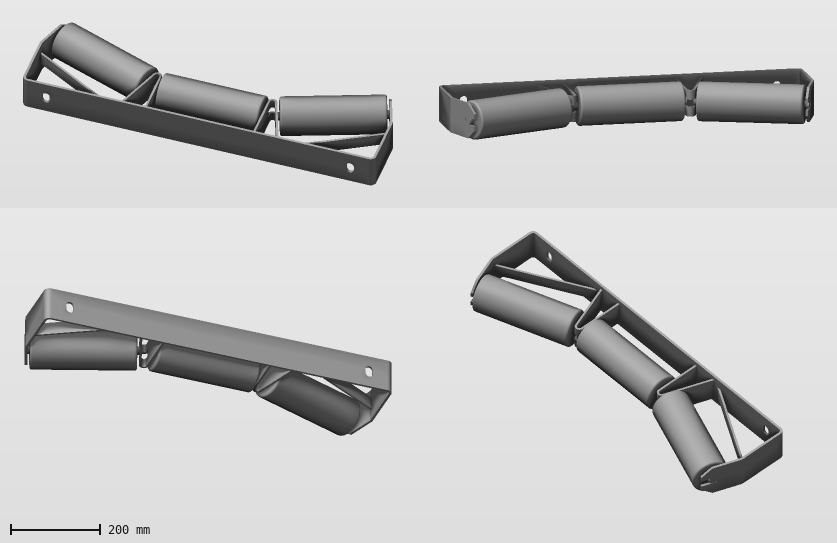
import cadquery as cq
import math


FRAME_LENGTH = 830.0
STRIP_THICKNESS = 6.0
STRIP_WIDTH = 80.0
STRIP_BEND_RADIUS = 13.0
TIP_REACH = 28.0
TIP_CHAMFER_LENGTH = 26.5
TIP_CHAMFER_WIDTH = 20.0

MOUNT_SLOT_X = 358.0
MOUNT_SLOT_WIDTH = 17.5
MOUNT_SLOT_LENGTH = 27.0

RIB_THICKNESS = 5.0
BRACKET_WIDTH = 60.0
BRACKET_BEND_RADIUS = 11.0
BRACE_ANGLE = 29.0
BRACE_WIDTH = 30.0
BRACE_FOOT_X = 198.0

ROLLER_DIAMETER = 89.0
ROLLER_LENGTH = 240.0
ROLLER_EDGE_RADIUS = 5.0
SHAFT_DIAMETER = 20.0
SHAFT_FLATS = 17.0
SIDE_GAP = 5.0

TROUGH_ANGLE = 20.0
CENTRE_ROLLER_Y = 100.0
WING_ROLLER_X = 268.0
WING_ROLLER_Y = 150.0

HALF_LENGTH = FRAME_LENGTH / 2
SEAT = ROLLER_LENGTH / 2 + SIDE_GAP
SHAFT_END = SEAT + RIB_THICKNESS
SHAFT_RADIUS = SHAFT_DIAMETER / 2
FLAT_OFFSET = SHAFT_FLATS / 2
COS = math.cos(math.radians(TROUGH_ANGLE))
SIN = math.sin(math.radians(TROUGH_ANGLE))


def wing_point(along, across):
    x = -WING_ROLLER_X - along * COS + across * SIN
    y = WING_ROLLER_Y + along * SIN + across * COS
    return (x, y)


def wing_point_at_x(along, x):
    return wing_point(along, (x + WING_ROLLER_X + along * COS) / SIN)


def wing_point_at_y(along, y):
    return wing_point(along, (y - WING_ROLLER_Y - along * SIN) / COS)


def flat_bar(outline, width):
    """Outline in the XY plane, extruded evenly to both sides of it."""
    return cq.Workplane("XY").polyline(outline).close().extrude(width / 2, both=True)


def round_bend(bar, inner_corner, outer_corner, thickness, outer_radius):
    """Round both corners of a bend about one centre, so the thickness stays constant."""
    for corner, radius in ((inner_corner, outer_radius - thickness), (outer_corner, outer_radius)):
        bar = bar.edges(cq.selectors.NearestToPointSelector((*corner, 0))).fillet(radius)
    return bar


def shaft_slot(plane, length, depth):
    """Open slot that runs from the shaft's seat along the plane's X direction."""
    seat_end = math.sqrt(SHAFT_RADIUS ** 2 - FLAT_OFFSET ** 2)
    return (
        cq.Workplane(plane)
        .moveTo(length, FLAT_OFFSET)
        .lineTo(-seat_end, FLAT_OFFSET)
        .threePointArc((-SHAFT_RADIUS, 0), (-seat_end, -FLAT_OFFSET))
        .lineTo(length, -FLAT_OFFSET)
        .close()
        .extrude(depth)
    )


def wing_plane(along, outward):
    """Plane across the left wing axis, its X pointing up and its normal outward or inward."""
    origin = (*wing_point(along, 0), 0)
    normal = (-COS, SIN, 0) if outward else (COS, -SIN, 0)
    return cq.Plane(origin=origin, xDir=(SIN, COS, 0), normal=normal)


def make_half_strip():
    """Left half of the base and the end wall, whose upper part leans in square to the wing axis."""
    inner_x = -HALF_LENGTH + STRIP_THICKNESS
    outer_along = SEAT + STRIP_THICKNESS
    outer_bend = wing_point_at_x(outer_along, -HALF_LENGTH)
    inner_bend = wing_point_at_x(SEAT, inner_x)
    base_outer = (-HALF_LENGTH, 0)
    base_inner = (inner_x, STRIP_THICKNESS)
    strip = flat_bar(
        [
            (0, 0),
            base_outer,
            outer_bend,
            wing_point(outer_along, TIP_REACH),
            wing_point(SEAT, TIP_REACH),
            inner_bend,
            base_inner,
            (0, STRIP_THICKNESS),
        ],
        STRIP_WIDTH,
    )
    strip = round_bend(strip, base_inner, base_outer, STRIP_THICKNESS, STRIP_BEND_RADIUS)
    strip = round_bend(strip, inner_bend, outer_bend, STRIP_THICKNESS, STRIP_BEND_RADIUS)

    seat_plane = wing_plane(SEAT, outward=True)
    half_width = STRIP_WIDTH / 2
    tip_corner = (
        cq.Workplane(seat_plane)
        .moveTo(TIP_REACH, half_width)
        .lineTo(TIP_REACH - TIP_CHAMFER_LENGTH, half_width)
        .lineTo(TIP_REACH, half_width - TIP_CHAMFER_WIDTH)
        .close()
        .extrude(STRIP_THICKNESS)
    )
    mount_slot = (
        cq.Workplane("XZ")
        .center(-MOUNT_SLOT_X, 0)
        .slot2D(MOUNT_SLOT_LENGTH, MOUNT_SLOT_WIDTH, 90)
        .extrude(-STRIP_THICKNESS)
    )
    strip = strip.cut(tip_corner).cut(tip_corner.mirror("XY")).cut(mount_slot)
    return strip.cut(shaft_slot(seat_plane, TIP_REACH, STRIP_THICKNESS))


def make_bracket():
    """Left inner bracket: one leg beside the centre roller, one beside the wing roller."""
    outer_bend = wing_point_at_x(-SEAT, -SEAT)
    inner_bend = wing_point_at_x(-SHAFT_END, -SHAFT_END)
    bracket = flat_bar(
        [
            (-SEAT, STRIP_THICKNESS),
            outer_bend,
            wing_point_at_y(-SEAT, STRIP_THICKNESS),
            wing_point_at_y(-SHAFT_END, STRIP_THICKNESS),
            inner_bend,
            (-SHAFT_END, STRIP_THICKNESS),
        ],
        BRACKET_WIDTH,
    )
    bracket = round_bend(bracket, inner_bend, outer_bend, RIB_THICKNESS, BRACKET_BEND_RADIUS)

    slot_length = outer_bend[1] - CENTRE_ROLLER_Y
    centre_plane = cq.Plane(origin=(-SEAT, CENTRE_ROLLER_Y, 0), xDir=(0, 1, 0), normal=(-1, 0, 0))
    for plane in (centre_plane, wing_plane(-SEAT, outward=False)):
        bracket = bracket.cut(shaft_slot(plane, slot_length, BRACKET_BEND_RADIUS))
    return bracket


def make_brace():
    """Left diagonal flat bar from the base to the end wall."""
    wall_x = -HALF_LENGTH + STRIP_THICKNESS
    angle = math.radians(BRACE_ANGLE)
    wall_y = STRIP_THICKNESS + (-BRACE_FOOT_X - wall_x) * math.tan(angle)
    return flat_bar(
        [
            (-BRACE_FOOT_X, STRIP_THICKNESS),
            (wall_x, wall_y),
            (wall_x, wall_y - RIB_THICKNESS / math.cos(angle)),
            (-BRACE_FOOT_X - RIB_THICKNESS / math.sin(angle), STRIP_THICKNESS),
        ],
        BRACE_WIDTH,
    )


def make_frame():
    """Welded frame: the left half and its mirror image in one piece."""
    half = make_half_strip().union(make_bracket()).union(make_brace())
    return half.union(half.mirror("YZ")).clean().solids().val()


def centred_rod(diameter, length):
    return cq.Workplane("YZ").workplane(offset=-length / 2).circle(diameter / 2).extrude(length)


def make_roller(x, y, tilt):
    """Roller and its shaft, with flats where the shaft sits in the slots."""
    shell = centred_rod(ROLLER_DIAMETER, ROLLER_LENGTH).edges().fillet(ROLLER_EDGE_RADIUS)
    shaft = centred_rod(SHAFT_DIAMETER, 2 * SEAT)
    flat_stock = cq.Workplane("XY").box(2 * SHAFT_END, SHAFT_DIAMETER, SHAFT_FLATS)
    shaft_ends = centred_rod(SHAFT_DIAMETER, 2 * SHAFT_END).intersect(flat_stock)
    roller = shell.union(shaft).union(shaft_ends)
    return roller.rotate((0, 0, 0), (0, 0, 1), tilt).translate((x, y, 0))


frame = make_frame()

ROLLER_PLACES = (
    (-WING_ROLLER_X, WING_ROLLER_Y, -TROUGH_ANGLE),
    (0, CENTRE_ROLLER_Y, 0),
    (WING_ROLLER_X, WING_ROLLER_Y, TROUGH_ANGLE),
)
rollers = [make_roller(x, y, tilt) for x, y, tilt in ROLLER_PLACES]

result = cq.Compound.makeCompound([frame, *[roller.val() for roller in rollers]])